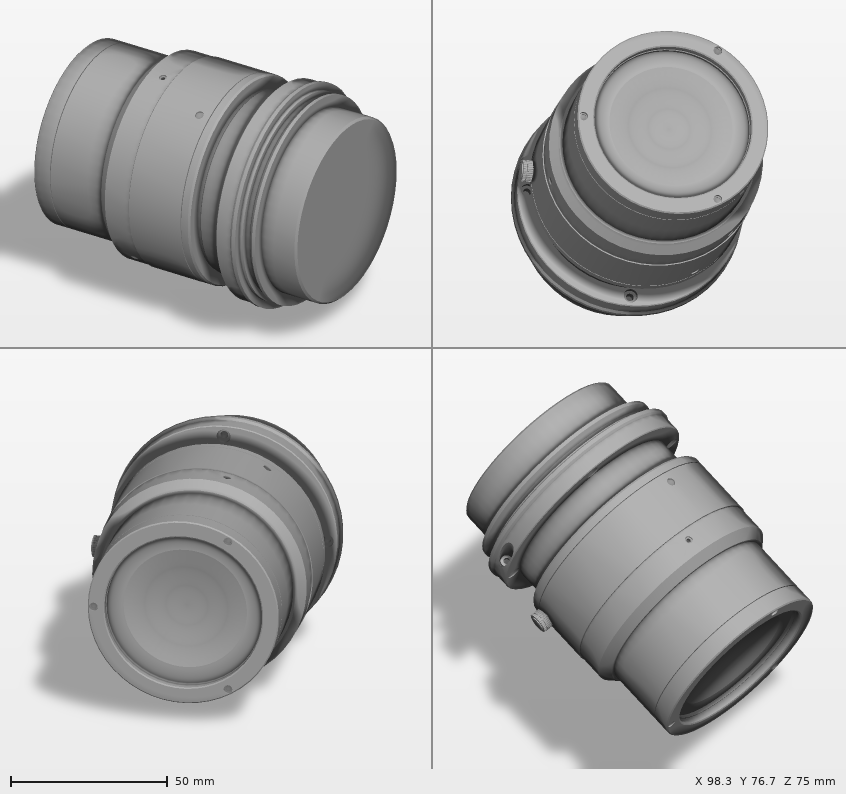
import cadquery as cq
import math


GROOVE_WIDTH = 0.3
GROOVE_DEPTH = 0.5

LENGTH = 98.33
FRONT_GROOVE_X = 6.2
SHOULDER_X = 25.9
SHOULDER_END_X = 29.0
FOCUS_RING_END_X = 37.9
FOCUS_GROOVE_X = FOCUS_RING_END_X + GROOVE_WIDTH / 2
BODY_GROOVE_X = 57.6
BODY_STEP_X = 60.2
BODY_END_X = 60.9
NECK_BEVEL_X = 62.0
NECK_END_X = 62.5
FLANGE_X = 71.8
FLANGE_END_X = 77.2
RIM_X = 78.1
RIM_END_X = 79.4
COLLAR_END_X = 80.7
MOUNT_NECK_END_X = 82.3
MOUNT_LIP_X = 84.1
MOUNT_LIP_END_X = 85.3

BARREL_R = 31.0
SHOULDER_R = 32.0
FOCUS_RING_R = 34.8
BODY_R = 35.1
MOUNT_R = 35.0
BODY_STEP_R = 34.6
NECK_R = 30.3
REAR_BARREL_R = 30.75
FLANGE_R = 36.9
RIM_R = 37.5
MOUNT_NECK_R = 33.2

FRONT_CHAMFER = 0.4
REAR_CHAMFER = 0.7
FLANGE_CHAMFER = 0.3

RECESS_R = 26.0
RECESS_WALL_R = 25.6
RECESS_FLOOR_R = 25.3
RECESS_DEPTH = 3.8
RECESS_TAPER_DEPTH = 0.3
RECESS_STEP_X = 2.6
GLASS_R = 20.0
GLASS_SAG = 3.3

FACE_HOLE_COUNT = 3
FACE_HOLE_CIRCLE_R = 29.1
FACE_HOLE_D = 2.8
FACE_HOLE_DEPTH = 0.8
FACE_SOCKET_D = 2.0
FACE_SOCKET_DEPTH = 1.0

RADIAL_HOLE_COUNT = 3
FOCUS_HOLE_X = 34.3
FOCUS_HOLE_ANGLE = 13.3
FOCUS_HOLE_D = 2.5
FOCUS_SOCKET_D = 1.4
FOCUS_SOCKET_DEPTH = 1.5
BODY_HOLE_X = 53.8
BODY_HOLE_ANGLE = 30.0
BODY_HOLE_D = 2.8
RADIAL_HOLE_DEPTH = 0.5

KNOB_TOP_Y = 39.22
KNOB_BOTTOM_Y = 35.8
KNOB_D = 7.0
KNOB_TOP_D = 5.0
KNOB_TOP_STEP = 0.3
KNOB_GROOVE_Y = 37.85
KNOB_GROOVE_WIDTH = 0.3
KNOB_GROOVE_D = 6.4
STEM_D = 2.5
KNURL_COUNT = 30
KNURL_D = 0.4

FLANGE_HOLE_COUNT = 4
FLANGE_HOLE_CIRCLE_R = 33.4
FLANGE_COUNTERBORE_D = 4.5
FLANGE_COUNTERBORE_DEPTH = 1.5
FLANGE_HOLE_D = 2.5
FLANGE_HOLE_DEPTH = 4.0
CLAMP_X = (FLANGE_X + FLANGE_END_X) / 2
CLAMP_Y = 34.1
CLAMP_SEAT_Z = 5.0
CLAMP_BORE_D = 4.5
CLAMP_HEAD_D = 3.8
CLAMP_HEAD_HEIGHT = 2.0
CLAMP_SOCKET_D = 2.05
CLAMP_SOCKET_DEPTH = 1.2


def make_barrel():
    """Turned outer shape, revolved from half of its section."""
    outline = [
        (0, 0),
        (0, BARREL_R - FRONT_CHAMFER),
        (FRONT_CHAMFER, BARREL_R),
        (SHOULDER_X, BARREL_R),
        (SHOULDER_X, SHOULDER_R),
        (SHOULDER_END_X, FOCUS_RING_R),
        (FOCUS_RING_END_X, FOCUS_RING_R),
        (FOCUS_RING_END_X, BODY_R),
        (BODY_STEP_X, BODY_R),
        (BODY_END_X, BODY_STEP_R),
        (BODY_END_X, NECK_R),
        (NECK_BEVEL_X, NECK_R),
        (NECK_END_X, REAR_BARREL_R),
        (FLANGE_X, REAR_BARREL_R),
        (FLANGE_X, FLANGE_R - FLANGE_CHAMFER),
        (FLANGE_X + FLANGE_CHAMFER, FLANGE_R),
        (FLANGE_END_X, FLANGE_R),
        (RIM_X, RIM_R),
        (RIM_END_X, RIM_R),
        (RIM_END_X, MOUNT_R),
        (COLLAR_END_X, MOUNT_R),
        (COLLAR_END_X, MOUNT_NECK_R),
        (MOUNT_NECK_END_X, MOUNT_NECK_R),
        (MOUNT_LIP_X, MOUNT_R),
        (MOUNT_LIP_END_X, MOUNT_R),
        (MOUNT_LIP_END_X, BARREL_R),
        (LENGTH - REAR_CHAMFER, BARREL_R),
        (LENGTH, BARREL_R - REAR_CHAMFER),
        (LENGTH, 0),
    ]
    return cq.Workplane("XY").polyline(outline).close().revolve(360, (0, 0, 0), (1, 0, 0))


def make_groove(x, radius):
    """Ring that cuts a narrow groove centred at x into a cylinder of the given radius."""
    return (
        cq.Workplane("YZ", origin=(x - GROOVE_WIDTH / 2, 0, 0))
        .circle(radius + GROOVE_DEPTH)
        .circle(radius - GROOVE_DEPTH)
        .extrude(GROOVE_WIDTH)
    )


def make_front_recess():
    """Stepped front recess with a tapered mouth and the concave spherical glass at its floor."""
    sphere_r = (GLASS_R**2 + GLASS_SAG**2) / (2 * GLASS_SAG)
    glass_apex_x = RECESS_DEPTH + GLASS_SAG
    sphere_center_x = glass_apex_x - sphere_r
    half_angle = math.asin(GLASS_R / sphere_r) / 2
    arc_middle = (
        sphere_center_x + sphere_r * math.cos(half_angle),
        sphere_r * math.sin(half_angle),
    )
    return (
        cq.Workplane("XY")
        .moveTo(0, 0)
        .lineTo(0, RECESS_R)
        .lineTo(RECESS_TAPER_DEPTH, RECESS_WALL_R)
        .lineTo(RECESS_STEP_X, RECESS_WALL_R)
        .lineTo(RECESS_STEP_X, RECESS_FLOOR_R)
        .lineTo(RECESS_DEPTH, RECESS_FLOOR_R)
        .lineTo(RECESS_DEPTH, GLASS_R)
        .threePointArc(arc_middle, (glass_apex_x, 0))
        .close()
        .revolve(360, (0, 0, 0), (1, 0, 0))
    )


def make_axial_holes(x, diameter, depth, circle_r, count):
    """Holes parallel to X, spaced evenly on a circle starting at +Y."""
    return (
        cq.Workplane("YZ", origin=(x, 0, 0))
        .polarArray(circle_r, 0, 360, count)
        .circle(diameter / 2)
        .extrude(depth)
    )


def make_radial_holes(x, surface_r, diameter, depth, first_angle):
    """Blind holes pointing at the axis, spaced evenly around it."""
    hole = (
        cq.Workplane("XY", origin=(x, 0, surface_r - depth))
        .circle(diameter / 2)
        .extrude(2 * depth)
    )
    holes = cq.Workplane("XY")
    for index in range(RADIAL_HOLE_COUNT):
        angle = first_angle + index * 360 / RADIAL_HOLE_COUNT
        holes = holes.add(hole.rotate((0, 0, 0), (1, 0, 0), angle))
    return holes.combine()


def make_thumbscrew():
    """Knurled and grooved knob with its stem, standing on the +Y side of the body."""
    groove_top_y = KNOB_GROOVE_Y + KNOB_GROOVE_WIDTH / 2
    groove_bottom_y = KNOB_GROOVE_Y - KNOB_GROOVE_WIDTH / 2
    stem_bottom_y = BODY_R - RADIAL_HOLE_DEPTH
    section = [
        (0, stem_bottom_y),
        (STEM_D / 2, stem_bottom_y),
        (STEM_D / 2, KNOB_BOTTOM_Y),
        (KNOB_D / 2, KNOB_BOTTOM_Y),
        (KNOB_D / 2, groove_bottom_y),
        (KNOB_GROOVE_D / 2, groove_bottom_y),
        (KNOB_GROOVE_D / 2, groove_top_y),
        (KNOB_D / 2, groove_top_y),
        (KNOB_D / 2, KNOB_TOP_Y - KNOB_TOP_STEP),
        (KNOB_TOP_D / 2, KNOB_TOP_Y - KNOB_TOP_STEP),
        (KNOB_TOP_D / 2, KNOB_TOP_Y),
        (0, KNOB_TOP_Y),
    ]
    screw = cq.Workplane("XY").polyline(section).close().revolve(360, (0, 0, 0), (0, 1, 0))
    knurl = (
        cq.Workplane("XZ", origin=(0, KNOB_BOTTOM_Y, 0))
        .polarArray(KNOB_D / 2, 0, 360, KNURL_COUNT)
        .circle(KNURL_D / 2)
        .extrude(KNOB_BOTTOM_Y - KNOB_TOP_Y)
    )
    return screw.cut(knurl).translate((BODY_HOLE_X, 0, 0))


def make_clamp_bore():
    """Blind bore along Z near the +Y edge of the flange."""
    return (
        cq.Workplane("XY", origin=(CLAMP_X, CLAMP_Y, CLAMP_SEAT_Z))
        .circle(CLAMP_BORE_D / 2)
        .extrude(RIM_R)
    )


def make_clamp_screw_head():
    """Socket head standing on the floor of the clamp bore."""
    return (
        cq.Workplane("XY", origin=(CLAMP_X, CLAMP_Y, CLAMP_SEAT_Z))
        .circle(CLAMP_HEAD_D / 2)
        .extrude(CLAMP_HEAD_HEIGHT)
        .faces(">Z")
        .workplane()
        .hole(CLAMP_SOCKET_D, CLAMP_SOCKET_DEPTH)
    )


result = make_barrel()
result = result.cut(make_groove(FRONT_GROOVE_X, BARREL_R))
result = result.cut(make_groove(FOCUS_GROOVE_X, BODY_R))
result = result.cut(make_groove(BODY_GROOVE_X, BODY_R))
result = result.cut(make_front_recess())

for bore_d, bore_depth in ((FACE_HOLE_D, FACE_HOLE_DEPTH), (FACE_SOCKET_D, FACE_SOCKET_DEPTH)):
    result = result.cut(make_axial_holes(0, bore_d, bore_depth, FACE_HOLE_CIRCLE_R, FACE_HOLE_COUNT))

for bore_d, bore_depth in (
    (FOCUS_HOLE_D, RADIAL_HOLE_DEPTH),
    (FOCUS_SOCKET_D, FOCUS_SOCKET_DEPTH),
):
    result = result.cut(
        make_radial_holes(FOCUS_HOLE_X, FOCUS_RING_R, bore_d, bore_depth, FOCUS_HOLE_ANGLE)
    )

result = result.cut(
    make_radial_holes(BODY_HOLE_X, BODY_R, BODY_HOLE_D, RADIAL_HOLE_DEPTH, BODY_HOLE_ANGLE)
)

for bore_d, bore_depth in (
    (FLANGE_COUNTERBORE_D, FLANGE_COUNTERBORE_DEPTH),
    (FLANGE_HOLE_D, FLANGE_HOLE_DEPTH),
):
    result = result.cut(
        make_axial_holes(FLANGE_X, bore_d, bore_depth, FLANGE_HOLE_CIRCLE_R, FLANGE_HOLE_COUNT)
    )

result = result.cut(make_clamp_bore())
result = result.union(make_clamp_screw_head())
result = result.union(make_thumbscrew())